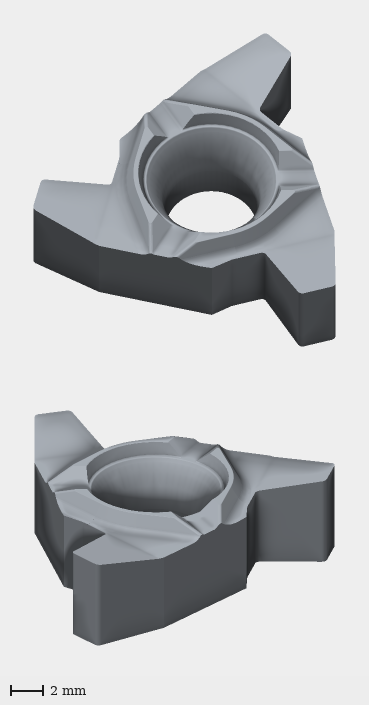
import cadquery as cq
import math

crown_z = 6.05
floor_z = 5.0
seat_z = 5.25

arm_count = 3
pitch = 360 / arm_count
flank_x = -6.35
flank_start_y = -1.61
arm_root_y = 5.6
arm_flank_angle = 15.0
tip_y = 10.18
tip_right_x = -2.81
tip_radius = 0.33
shoulder_y = 6.0
shoulder_end_x = 0.4
root_radius = 0.3

ramp_angle = 10.0
ramp_start_y = 5.9
ramp_blend_radius = 0.79

hub_radius = 4.84
hub_draft = 33.7
hub_arc_start = 90.0
hub_arc_end = 121.5
hub_cove_radius = 0.7
crown_round = 0.05

flute_angle = 45.0
flute_offset = 0.1
flute_floor_width = 1.02
flute_top_width = 2.99
flute_round = 0.3
ridge_round = 0.2

bore_radius = 2.85
bell_bottom_z = 2.2
bell_top_radius = 3.85
bell_top_z = 5.0
lip_radius = 4.05
seat_bottom_radius = 4.2
seat_top_radius = 4.55
seat_round = 0.12

overrun = 11.8
tolerance = 0.002


def tan_deg(angle):
    return math.tan(math.radians(angle))


def turned(x, y, angle):
    """A point turned about the bore axis."""
    a = math.radians(angle)
    return (x * math.cos(a) - y * math.sin(a), x * math.sin(a) + y * math.cos(a))


def polar(radius, angle):
    return turned(radius, 0, angle)


def repeated(shape, start=0.0):
    """Copies of a shape, one for each arm, the first turned to the start angle."""
    return [shape.rotate((0, 0, 0), (0, 0, 1), start - i * pitch) for i in range(arm_count)]


def edges_at_height(solid, z):
    """Level edges of a solid that lie at height z."""
    low = (-overrun, -overrun, z - tolerance)
    high = (overrun, overrun, z + tolerance)
    return solid.edges(cq.selectors.BoxSelector(low, high, boundingbox=True))


def round_upright_edges(plate, corners, radius):
    """Round the upright edges at the given corners of every arm."""
    edges = []
    for x, y in corners:
        for i in range(arm_count):
            middle = (*turned(x, y, -i * pitch), crown_z / 2)
            edges += plate.edges(cq.NearestToPointSelector(middle)).vals()
    return plate.newObject(edges).fillet(radius)


def make_plate():
    """Full-height prism of the plate outline."""
    tip_left = (flank_x + (tip_y - arm_root_y) * tan_deg(arm_flank_angle), tip_y)
    tip_right = (tip_right_x, tip_y)
    root = (tip_right_x + (tip_y - shoulder_y) * tan_deg(arm_flank_angle), shoulder_y)
    third = [
        (flank_x, flank_start_y),
        (flank_x, arm_root_y),
        tip_left,
        tip_right,
        root,
        (shoulder_end_x, shoulder_y),
    ]
    points = [turned(x, y, -i * pitch) for i in range(arm_count) for x, y in third]
    plate = cq.Workplane("XY").polyline(points).close().extrude(crown_z)
    plate = round_upright_edges(plate, [tip_left, tip_right], tip_radius)
    return round_upright_edges(plate, [root], root_radius)


def hub_base_radius():
    return hub_radius + (crown_z - floor_z) * tan_deg(hub_draft)


def make_hub_on_floor():
    """Level floor with the drafted hub on it, rounded under the arms and sharp at the flutes."""
    radius = hub_base_radius()
    span = hub_arc_end - hub_arc_start
    gap = pitch - span
    corner_radius = radius / math.cos(math.radians(gap / 2))
    outline = cq.Workplane("XY", origin=(0, 0, floor_z)).moveTo(*polar(radius, hub_arc_start))
    for i in range(arm_count):
        start = hub_arc_start + i * pitch
        end = start + span
        outline = outline.threePointArc(polar(radius, start + span / 2), polar(radius, end))
        outline = outline.lineTo(*polar(corner_radius, end + gap / 2))
        outline = outline.lineTo(*polar(radius, start + pitch))
    hub = outline.close().extrude(crown_z - floor_z, taper=hub_draft)

    floor = cq.Workplane("XY").circle(2 * overrun).extrude(floor_z)
    return edges_at_height(floor.union(hub), floor_z).fillet(hub_cove_radius)


def make_ramp():
    """Wedge along an arm, eased into the floor by an arc."""
    slope = math.radians(ramp_angle)
    tip_z = floor_z + (tip_y - ramp_start_y) * math.tan(slope)
    blend = ramp_blend_radius * math.tan(slope / 2)
    blend_end = (ramp_start_y + blend * math.cos(slope), floor_z + blend * math.sin(slope))
    return (
        cq.Workplane("YZ", origin=(-overrun, 0, 0))
        .moveTo(ramp_start_y - blend, 0)
        .lineTo(ramp_start_y - blend, floor_z)
        .radiusArc(blend_end, -ramp_blend_radius)
        .lineTo(tip_y, tip_z)
        .lineTo(tip_y, 0)
        .close()
        .extrude(2 * overrun)
    )


def make_shoulder_cove():
    """Cove where the straight hub side meets the ramp beyond the shoulder."""
    side = tan_deg(hub_draft)
    slope = tan_deg(ramp_angle)
    drop = (ramp_start_y - hub_base_radius()) * slope / (1 + side * slope)
    foot_y = hub_base_radius() + drop * side
    foot_z = floor_z - drop
    tip_z = floor_z + (tip_y - ramp_start_y) * slope
    wedge = (
        cq.Workplane("YZ")
        .moveTo(hub_radius, crown_z)
        .lineTo(foot_y, foot_z)
        .lineTo(tip_y, tip_z)
        .lineTo(tip_y, 0)
        .lineTo(hub_radius, 0)
        .close()
        .extrude(hub_radius)
    )
    foot = cq.NearestToPointSelector((hub_radius / 2, foot_y, foot_z))
    return wedge.edges("|X").edges(foot).fillet(hub_cove_radius)


def make_flute():
    """Cutter for a flat-bottomed flute with sloping walls, lying along +X."""
    half_floor = flute_floor_width / 2
    half_top = flute_top_width / 2
    flute = (
        cq.Workplane("YZ", origin=(bore_radius, 0, 0))
        .moveTo(flute_offset - half_floor, seat_z)
        .lineTo(flute_offset + half_floor, seat_z)
        .lineTo(flute_offset + half_top, crown_z)
        .lineTo(flute_offset - half_top, crown_z)
        .close()
        .extrude(overrun)
    )
    return flute.faces("<Z").edges("|X").fillet(flute_round)


def round_flute_ridges(body):
    """Round the ridges between the flute walls and the hub sides."""
    ridges = []
    for i in range(arm_count):
        turn = flute_angle - i * pitch
        for wall, hub_side in ((1, hub_arc_start), (-1, hub_arc_end - pitch)):
            facing = math.radians(hub_side - flute_angle)
            y = flute_offset + wall * flute_top_width / 2
            x = (hub_radius - y * math.sin(facing)) / math.cos(facing)
            ridge_top = cq.Vertex.makeVertex(*turned(x, y, turn), crown_z)
            for edge in body.edges().vals():
                if edge.distance(ridge_top) < tolerance and edge.Center().z < crown_z - tolerance:
                    ridges.append(edge)
    return body.newObject(ridges).fillet(ridge_round)


def make_bore():
    """Cutter for the bore, its bell mouth with a tapered lip, and the screw seat."""
    bore = (
        cq.Workplane("XZ")
        .lineTo(bore_radius, 0)
        .lineTo(bore_radius, bell_bottom_z)
        .tangentArcPoint((bell_top_radius, bell_top_z), relative=False)
        .lineTo(lip_radius, seat_z)
        .lineTo(seat_bottom_radius, seat_z)
        .lineTo(seat_top_radius, crown_z)
        .lineTo(0, crown_z)
        .close()
        .revolve(360, (0, 0, 0), (0, 1, 0))
    )
    return edges_at_height(bore, seat_z).fillet(seat_round)


top = make_hub_on_floor()
for ramp in repeated(make_ramp()):
    top = top.union(ramp)
for cove in repeated(make_shoulder_cove()):
    top = top.union(cove)

body = make_plate().intersect(top)
for flute in repeated(make_flute(), flute_angle):
    body = body.cut(flute)
body = round_flute_ridges(body)
body = body.cut(make_bore())

result = edges_at_height(body, crown_z).fillet(crown_round)